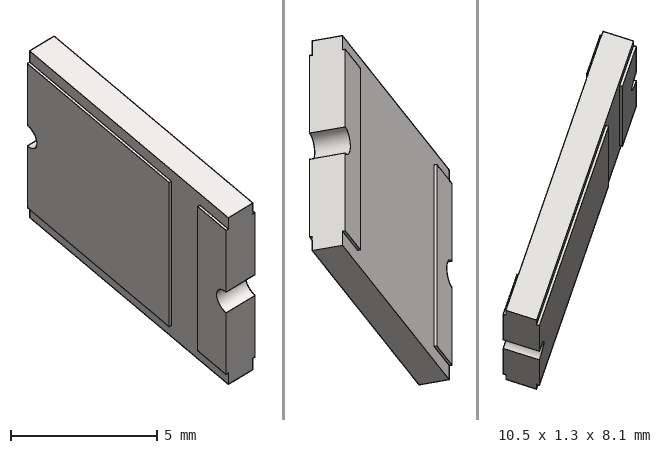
import cadquery as cq

length = 10.5
depth = 1.3
height = 8.1

pad_thickness = 0.1
pad_height = 7.0
narrow_pad_width = 1.5
wide_pad_width = 7.5

notch_radius = 0.5

body_depth = depth - 2 * pad_thickness
pad_offset = (body_depth + pad_thickness) / 2


def end_pad(width, x_side, y_side):
    """Pad flush with one end (x_side) on the front (-1) or back (+1) face."""
    x_center = x_side * (length - width) / 2
    return cq.Workplane("XY").box(width, pad_thickness, pad_height).translate(
        (x_center, y_side * pad_offset, 0)
    )


result = cq.Workplane("XY").box(length, body_depth, height)

pads = (
    (wide_pad_width, -1, -1),
    (narrow_pad_width, 1, -1),
    (narrow_pad_width, -1, 1),
    (narrow_pad_width, 1, 1),
)
for width, x_side, y_side in pads:
    result = result.union(end_pad(width, x_side, y_side))

notches = (
    cq.Workplane("XZ")
    .pushPoints([(-length / 2, 0), (length / 2, 0)])
    .circle(notch_radius)
    .extrude(depth / 2, both=True)
)
result = result.cut(notches)